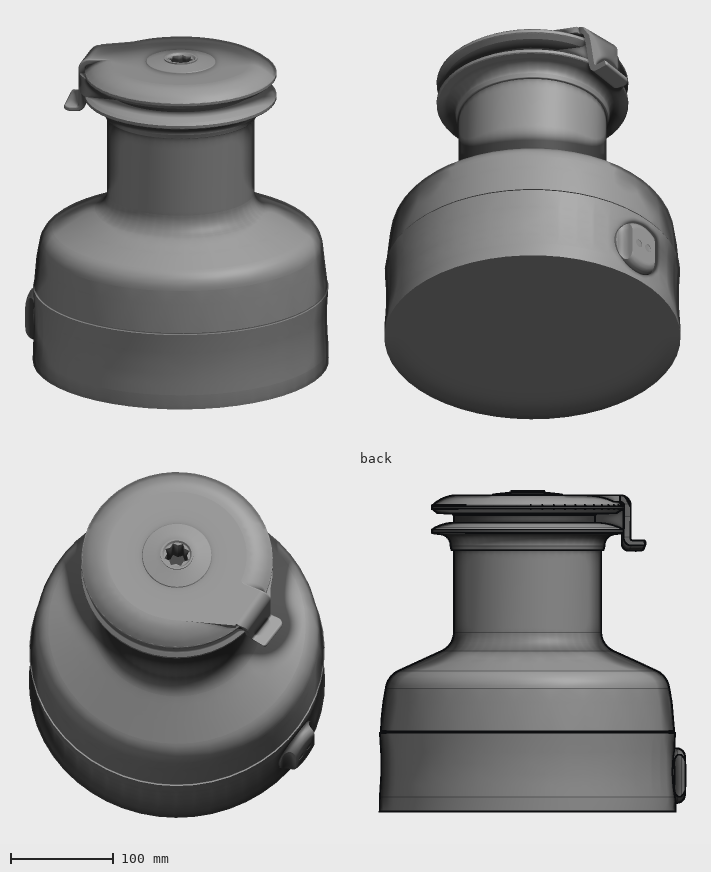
import cadquery as cq
import math

BASE_RADIUS = 144.5
BASE_RIM_HEIGHT = 14.5
BASE_WAIST_RADIUS = 142.8
BASE_TOP = 76.8
BASE_EDGE_RADIUS = 144.2

GROOVE_RADIUS = 138.3
GROOVE_WIDTH = 1.6

SKIRT_BOTTOM = BASE_TOP + GROOVE_WIDTH
SKIRT_RADIUS = 143.3
SKIRT_MID = (141.6, 101.0)
SHOULDER_LOW = (138.5, 120.2)
SHOULDER_MID = (133.9, 131.0)
SHOULDER_HIGH = (125.6, 137.5)

DRUM_RADIUS = 72.0
NECK_FILLET = 20.0
NECK_TOP = 174.9
CONE_SLOPE = math.radians(24.8)

FLANGE_RADIUS = 93.5
RIM_ROUNDING = 1.0
COLLAR_BOTTOM = 254.8
COLLAR_RADIUS = 74.5
COLLAR_TOP = (COLLAR_RADIUS + 0.8, 259.3)
COLLAR_FLARE_MID = (78.3, 267.3)
COLLAR_FLARE_END = (85.5, 270.4)
LOWER_RIM_BOTTOM = 271.3
LOWER_RIM_TOP = 275.0
LOWER_RIM_SHOULDER = (FLANGE_RADIUS - 3.5, 277.2)
LOWER_FLANGE_MID = (83.0, 280.0)
GAP_BOTTOM = 281.9
GAP_TOP = 288.8
UPPER_FLANGE_ROOT = (DRUM_RADIUS + 1.5, 290.3)
UPPER_FLANGE_BREAK = (88.0, 291.0)
UPPER_RIM_BOTTOM = 294.6
UPPER_RIM_TOP = 299.0
CROWN_RADIUS = 68.0
CROWN_TOP = 308.7

CAP_RADIUS = 34.2
CAP_EDGE = 0.7
CAP_HUB_TOP = 311.3
RING_RADIUS = 16.1
TOTAL_HEIGHT = 312.65
RING_BORE_RADIUS = 14.3
RING_BORE_DEPTH = 1.5
RING_BORE_TAPER = 45
SOCKET_SQUARE = 18.05
SOCKET_TURN = 10.0
SOCKET_DEPTH = 30.0

ARM_TURN = 4.0
ARM_OUTER = 99.3
ARM_THICKNESS = 6.5
ARM_INNER = ARM_OUTER - ARM_THICKNESS
ARM_BEND = 11.0
ARM_INNER_BEND = ARM_BEND - ARM_THICKNESS
ARM_EDGE_ROUNDING = 1.6
ARM_REACH = 45.0
LEG_BOTTOM = 267.0

ARM_OUTLINE = [(-32.0, 320), (-26.0, 300), (-22.5, 288), (-18.4, 268), (-13.0, 248), (40.0, 240), (40.0, 320)]

TONGUE_NOTCH = (-66.5, -16.2)
TONGUE_OUTLINE = [(-36.0, 58.3), (-120.0, 6.0), (-120.0, -28.7), TONGUE_NOTCH, (-62.5, -26.0), (-30.0, 20.0)]
NOTCH_FILLET = 6.0

FOOT_REACH = 114.5
FOOT_THICKNESS = 4.8
FOOT_BEND = 7.0
FOOT_INNER_BEND = 2.0
FOOT_SLOPE = 9.5
FOOT_BOTTOM = 256.8
FOOT_JOIN = 16.0
FOOT_START = -20.5
FOOT_CORNER = 7.0

STRIPPER_BOTTOM = 275.2
STRIPPER_TOP = 294.0
STRIPPER_INSIDE = (-40.0, -50.0)
STRIPPER_TIP = (-48.8, -54.0)
STRIPPER_BULGE = (-82.0, -40.3)
STRIPPER_END = (-95.5, -25.0)
STRIPPER_BACK = (-93.0, 10.0)
STRIPPER_ROOT = (-66.0, 30.5)

BUTTON_TURN = 2.1
BUTTON_HEIGHT = 35.0
BUTTON_DIAMETER = 53.5
BUTTON_HOLE_DIAMETER = 54.2
BUTTON_FACE = 153.5
BUTTON_FLOOR = 135.0
BUTTON_ROUNDING = 8.15
RIDGE_HALF_WIDTH = 15.4
SCOOP_START = 16.0
SCOOP_HALF_WIDTH = 23.0
SCOOP_TOP = 149.5
SCOOP_FLOOR = 142.4
SCOOP_MID_DISTANCE = 144.9
SCOOP_MID_OFFSET = 18.3
LIGHT_DIAMETER = 8.4
LIGHT_SPACING = 12.5
LIGHT_DEPTH = 0.5


def turned_frame(turn, height=0.0):
    """Plane whose normal points outward near -X, turned about Z; local x is near -Y, local y is Z."""
    angle = math.radians(turn)
    outward = (-math.cos(angle), -math.sin(angle), 0)
    sideways = (math.sin(angle), -math.cos(angle), 0)
    return cq.Plane(origin=(0, 0, height), xDir=sideways, normal=outward)


def neck_point(turn):
    """Point on the concave neck fillet, at an angle below its top end."""
    return (
        DRUM_RADIUS + NECK_FILLET * (1 - math.cos(turn)),
        NECK_TOP - NECK_FILLET * math.sin(turn),
    )


def crown_middle():
    """Middle of the crown arc, which runs level into the flat top."""
    run = FLANGE_RADIUS - RIM_ROUNDING - CROWN_RADIUS
    drop = CROWN_TOP - UPPER_RIM_TOP
    radius = (run**2 + drop**2) / (2 * drop)
    half_turn = math.asin(run / radius) / 2
    return (
        CROWN_RADIUS + radius * math.sin(half_turn),
        CROWN_TOP - radius * (1 - math.cos(half_turn)),
    )


def winch_profile():
    """Half section of the base, drum, flanges and cap."""
    neck_turn = math.pi / 2 - CONE_SLOPE
    waist_height = (BASE_RIM_HEIGHT + BASE_TOP) / 2
    return (
        cq.Workplane("XZ")
        .moveTo(0, 0)
        .lineTo(BASE_RADIUS, 0)
        .lineTo(BASE_EDGE_RADIUS, BASE_RIM_HEIGHT)
        .threePointArc((BASE_WAIST_RADIUS, waist_height), (BASE_EDGE_RADIUS, BASE_TOP))
        .lineTo(GROOVE_RADIUS, BASE_TOP)
        .lineTo(GROOVE_RADIUS, SKIRT_BOTTOM)
        .lineTo(SKIRT_RADIUS, SKIRT_BOTTOM)
        .threePointArc(SKIRT_MID, SHOULDER_LOW)
        .threePointArc(SHOULDER_MID, SHOULDER_HIGH)
        .lineTo(*neck_point(neck_turn))
        .threePointArc(neck_point(neck_turn / 2), (DRUM_RADIUS, NECK_TOP))
        .lineTo(DRUM_RADIUS, COLLAR_BOTTOM)
        .lineTo(COLLAR_RADIUS - RIM_ROUNDING, COLLAR_BOTTOM)
        .radiusArc((COLLAR_RADIUS, COLLAR_BOTTOM + RIM_ROUNDING), -RIM_ROUNDING)
        .lineTo(*COLLAR_TOP)
        .threePointArc(COLLAR_FLARE_MID, COLLAR_FLARE_END)
        .lineTo(FLANGE_RADIUS - RIM_ROUNDING, LOWER_RIM_BOTTOM)
        .radiusArc((FLANGE_RADIUS, LOWER_RIM_BOTTOM + RIM_ROUNDING), -RIM_ROUNDING)
        .lineTo(FLANGE_RADIUS, LOWER_RIM_TOP)
        .lineTo(*LOWER_RIM_SHOULDER)
        .threePointArc(LOWER_FLANGE_MID, (DRUM_RADIUS, GAP_BOTTOM))
        .lineTo(DRUM_RADIUS, GAP_TOP)
        .lineTo(*UPPER_FLANGE_ROOT)
        .lineTo(*UPPER_FLANGE_BREAK)
        .lineTo(FLANGE_RADIUS - RIM_ROUNDING, UPPER_RIM_BOTTOM)
        .radiusArc((FLANGE_RADIUS, UPPER_RIM_BOTTOM + RIM_ROUNDING), -RIM_ROUNDING)
        .lineTo(FLANGE_RADIUS, UPPER_RIM_TOP - RIM_ROUNDING)
        .radiusArc((FLANGE_RADIUS - RIM_ROUNDING, UPPER_RIM_TOP), -RIM_ROUNDING)
        .threePointArc(crown_middle(), (CROWN_RADIUS, CROWN_TOP))
        .lineTo(CAP_RADIUS, CROWN_TOP)
        .lineTo(CAP_RADIUS - CAP_EDGE, CROWN_TOP + CAP_EDGE)
        .lineTo(RING_RADIUS, CAP_HUB_TOP)
        .lineTo(RING_RADIUS, TOTAL_HEIGHT)
        .lineTo(0, TOTAL_HEIGHT)
        .close()
    )


def socket():
    """Eight-pointed handle socket with a tapered mouth."""
    floor = TOTAL_HEIGHT - SOCKET_DEPTH
    bore = (
        cq.Workplane("XY").workplane(offset=TOTAL_HEIGHT)
        .circle(RING_BORE_RADIUS).extrude(-RING_BORE_DEPTH, taper=RING_BORE_TAPER)
    )
    for turn in (SOCKET_TURN, SOCKET_TURN + 45):
        square = cq.Workplane("XY").workplane(offset=floor).rect(SOCKET_SQUARE, SOCKET_SQUARE).extrude(SOCKET_DEPTH)
        bore = bore.union(square.rotate((0, 0, 0), (0, 0, 1), turn))
    return bore


def tongue_plan(bottom):
    """Plan of the arm: tangent to the crown circle on one side, notched on the other."""
    return (
        cq.Workplane("XY").workplane(offset=bottom)
        .polyline(TONGUE_OUTLINE).close().extrude(CROWN_TOP - bottom)
        .edges(cq.selectors.NearestToPointSelector((*TONGUE_NOTCH, CROWN_TOP - 1))).fillet(NOTCH_FILLET)
    )


def arm_tongue():
    """Flat tongue level with the crown, running out to the bend."""
    bend_start = ARM_OUTER - ARM_BEND
    beyond_bend = (
        cq.Workplane(turned_frame(ARM_TURN)).workplane(offset=bend_start)
        .rect(4 * ARM_REACH, 2 * TOTAL_HEIGHT).extrude(FOOT_REACH)
    )
    return tongue_plan(CROWN_TOP - ARM_THICKNESS).cut(beyond_bend)


def arm_section(slope, height=0.0):
    """Plane with local x outward and local y up, square to the arm's width or tilted along it."""
    turn = math.radians(ARM_TURN)
    tilt = math.radians(slope)
    outward = (-math.cos(turn), -math.sin(turn), 0)
    width = (-math.sin(turn) * math.cos(tilt), math.cos(turn) * math.cos(tilt), math.sin(tilt))
    return cq.Plane(origin=(0, 0, height), xDir=outward, normal=width)


def arm_outline():
    """Width of the arm, narrowing downward on one side."""
    return (
        cq.Workplane(turned_frame(ARM_TURN))
        .polyline(ARM_OUTLINE).close().extrude(ARM_OUTER + FOOT_REACH)
    )


def arm_leg():
    """Bend from the crown into the leg that hangs outside the flanges."""
    under = CROWN_TOP - ARM_THICKNESS
    profile = (
        cq.Workplane(arm_section(0))
        .moveTo(ARM_OUTER - ARM_BEND, CROWN_TOP)
        .radiusArc((ARM_OUTER, CROWN_TOP - ARM_BEND), ARM_BEND)
        .lineTo(ARM_OUTER, LEG_BOTTOM)
        .lineTo(ARM_INNER, LEG_BOTTOM)
        .lineTo(ARM_INNER, under - ARM_INNER_BEND)
        .radiusArc((ARM_INNER - ARM_INNER_BEND, under), -ARM_INNER_BEND)
        .close()
    )
    return profile.extrude(ARM_REACH, both=True).intersect(arm_outline()).intersect(tongue_plan(LEG_BOTTOM))


def foot_plan():
    """Plan of the foot: the arm's plan cut off square at the tip, with rounded corners."""
    middle = (
        cq.Workplane(turned_frame(ARM_TURN))
        .rect(-2 * FOOT_START, 2 * TOTAL_HEIGHT).extrude(FOOT_REACH)
    )
    far_side = (
        cq.Workplane(turned_frame(ARM_TURN)).center(ARM_REACH / 2, 0)
        .rect(ARM_REACH, 2 * TOTAL_HEIGHT).extrude(FOOT_REACH)
    )
    plan = tongue_plan(0).intersect(middle.union(far_side))
    return plan.faces("<X").edges("|Z").fillet(FOOT_CORNER)


def arm_foot():
    """Lip turned outward at the bottom of the leg, sloping down along the arm's width."""
    half = FOOT_THICKNESS / 2
    lip = (
        cq.Workplane(arm_section(FOOT_SLOPE, FOOT_BOTTOM))
        .moveTo(ARM_INNER + FOOT_BEND, 0)
        .lineTo(FOOT_REACH - half, 0)
        .threePointArc((FOOT_REACH, half), (FOOT_REACH - half, FOOT_THICKNESS))
        .lineTo(ARM_OUTER + FOOT_INNER_BEND, FOOT_THICKNESS)
        .radiusArc((ARM_OUTER, FOOT_THICKNESS + FOOT_INNER_BEND), FOOT_INNER_BEND)
        .lineTo(ARM_OUTER, FOOT_JOIN)
        .lineTo(ARM_INNER, FOOT_JOIN)
        .lineTo(ARM_INNER, FOOT_BEND)
        .radiusArc((ARM_INNER + FOOT_BEND, 0), -FOOT_BEND)
        .close().extrude(ARM_REACH, both=True)
    )
    return lip.intersect(arm_outline()).intersect(foot_plan())


def self_tailing_arm():
    """Tongue, leg and foot in one piece, with the notched side's edges rounded."""
    arm = arm_tongue().union(arm_leg()).union(arm_foot())
    return arm.faces("<Y").edges().fillet(ARM_EDGE_ROUNDING)


def stripper():
    """Wedge that fills the line gap behind the arm."""
    return (
        cq.Workplane("XY").workplane(offset=STRIPPER_BOTTOM)
        .moveTo(*STRIPPER_INSIDE)
        .lineTo(*STRIPPER_TIP)
        .threePointArc(STRIPPER_BULGE, STRIPPER_END)
        .lineTo(*STRIPPER_BACK)
        .lineTo(*STRIPPER_ROOT)
        .close().extrude(STRIPPER_TOP - STRIPPER_BOTTOM)
    )


def button_cylinder(diameter):
    """Cylinder on the button's axis, from the floor of its recess to its face."""
    return (
        cq.Workplane(turned_frame(BUTTON_TURN, BUTTON_HEIGHT)).workplane(offset=BUTTON_FLOOR)
        .circle(diameter / 2).extrude(BUTTON_FACE - BUTTON_FLOOR)
    )


def button_scoop(side):
    """Hollow beside the button's central ridge, on the +1 or -1 side."""
    beyond_face = BUTTON_FACE + 1
    beyond_edge = side * BUTTON_DIAMETER
    return (
        cq.Workplane("XY")
        .moveTo(-beyond_face, side * RIDGE_HALF_WIDTH)
        .lineTo(-BUTTON_FACE, side * RIDGE_HALF_WIDTH)
        .lineTo(-SCOOP_TOP, side * SCOOP_START)
        .threePointArc((-SCOOP_MID_DISTANCE, side * SCOOP_MID_OFFSET), (-SCOOP_FLOOR, side * SCOOP_HALF_WIDTH))
        .lineTo(-SCOOP_FLOOR, beyond_edge)
        .lineTo(-beyond_face, beyond_edge)
        .close().extrude(BUTTON_HEIGHT + BUTTON_DIAMETER)
        .rotate((0, 0, 0), (0, 0, 1), BUTTON_TURN)
    )


def button():
    """Round button with a rounded rim, a central ridge and two shallow light recesses."""
    body = button_cylinder(BUTTON_DIAMETER).faces("<X").edges().fillet(BUTTON_ROUNDING)
    for side in (1, -1):
        body = body.cut(button_scoop(side))
    lights = (
        cq.Workplane(turned_frame(BUTTON_TURN, BUTTON_HEIGHT)).workplane(offset=BUTTON_FACE)
        .pushPoints([(-LIGHT_SPACING / 2, 0), (LIGHT_SPACING / 2, 0)])
        .circle(LIGHT_DIAMETER / 2).extrude(-LIGHT_DEPTH)
    )
    return body.cut(lights)


def winch():
    """Winch with its arm and stripper, its handle socket and the recess for the button."""
    body = winch_profile().revolve(360, (0, 0), (0, 1))
    body = body.union(stripper()).union(self_tailing_arm())
    return body.cut(socket()).cut(button_cylinder(BUTTON_HOLE_DIAMETER))


winch_body = winch()
button_body = button()
result = cq.Compound.makeCompound([winch_body.val(), button_body.val()])